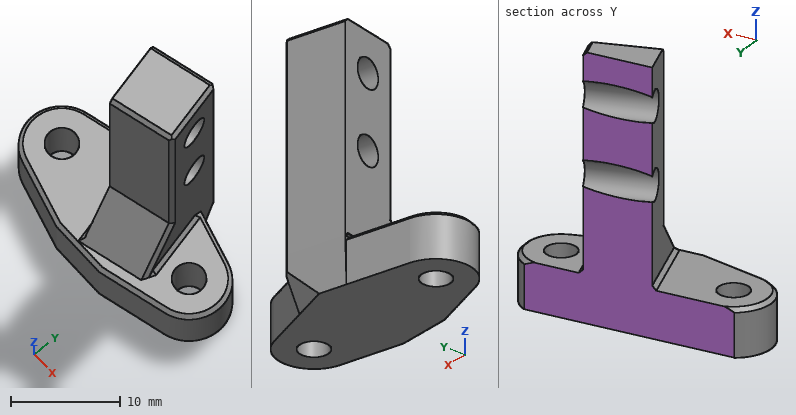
import cadquery as cq
import math

end_radius = 4.0
hole_spacing = 18.0
hole_diameter = 3.2
flat_half = 3.02
base_height = 5.0
side_angle = 15
edge_chamfer = 0.4

post_width = 7.0
post_depth = 7.0
post_left_x = -3.05
post_offset = 0.2
total_height = 27.5
post_hole_heights = (15.15, 23.15)

brace_height = 4.45
brace_length = 4.45
foot_size = 0.4
foot_slope = 45
underside_angle = 30

overlap = 0.28
relief_reach = 11

sine = math.sin(math.radians(side_angle))
cosine = math.cos(math.radians(side_angle))
tangent = sine / cosine
hole_x = hole_spacing / 2
side_x = hole_x + end_radius * sine
side_y = end_radius * cosine
apex_y = side_y + side_x * tangent
underside_run = base_height * math.tan(math.radians(underside_angle))
flat_y = apex_y - flat_half * tangent
foot_corner_width = foot_size + edge_chamfer
foot_corner_length = foot_corner_width * math.sqrt(2)
post_back_y = apex_y + post_left_x * tangent + post_offset / cosine

post_frame = cq.Plane(
    origin=(post_left_x, post_back_y, 0), xDir=(cosine, sine, 0), normal=(0, 0, 1)
)


def in_post_frame(shape):
    """Move a shape made around the origin into the turned post frame."""
    return cq.Workplane(shape.val().moved(cq.Location(post_frame)))


def make_base(height, bevel):
    """Plate outline raised to the given height, bevelled around its top."""
    return (
        cq.Workplane("XY")
        .moveTo(-side_x, -side_y)
        .lineTo(-flat_half, -flat_y)
        .lineTo(flat_half, -flat_y)
        .lineTo(side_x, -side_y)
        .threePointArc((hole_x + end_radius, 0), (side_x, side_y))
        .lineTo(0, apex_y)
        .lineTo(-side_x, side_y)
        .threePointArc((-hole_x - end_radius, 0), (-side_x, -side_y))
        .close()
        .extrude(height)
        .faces(">Z")
        .edges()
        .chamfer(bevel)
    )


def make_post():
    """Post and brace as one side profile, with the right side and the top chamfered."""
    profile = [
        (0, 0),
        (0, total_height),
        (-post_depth, total_height),
        (-post_depth, base_height + brace_height),
        (-post_depth - brace_length, base_height),
        (-post_depth, 0),
    ]
    body = cq.Workplane("YZ").polyline(profile).close().extrude(post_width)
    outer_edges = cq.selectors.BoxSelector(
        (post_width - overlap, -post_depth - brace_length, base_height + overlap),
        (post_width + overlap, overlap, total_height + overlap),
    )
    back_edge = cq.selectors.BoxSelector(
        (post_width - overlap, -overlap, 0),
        (post_width + overlap, overlap, total_height),
    )
    body = body.faces(">X").edges(outer_edges + back_edge).chamfer(edge_chamfer)
    return body.faces(">Z").edges(">Y or <Y").chamfer(edge_chamfer)


def make_foot():
    """Sloped skirt where the post and brace meet the plate."""
    foot_length = post_depth + brace_length
    outline = (
        cq.Workplane("XY")
        .workplane(offset=base_height)
        .moveTo(-foot_size, 0)
        .lineTo(post_width + foot_size, 0)
        .lineTo(post_width + foot_size, -foot_length + foot_corner_length)
        .lineTo(post_width + foot_size - foot_corner_width, -foot_length)
        .lineTo(-foot_size, -foot_length)
        .close()
    )
    return outline.extrude(foot_size, taper=foot_slope)


def make_post_holes():
    return (
        cq.Workplane("YZ")
        .pushPoints([(-post_depth / 2, height) for height in post_hole_heights])
        .circle(hole_diameter / 2)
        .extrude(post_width)
    )


def make_relief(side, run):
    """Space beyond a back side of the plate, leaning out by run over the plate height."""
    outward = (side * sine, cosine, 0)
    along = (cosine, -side * sine, 0)
    plane = cq.Plane(origin=(0, apex_y, 0), xDir=outward, normal=along)
    return (
        cq.Workplane(plane)
        .polyline([(0, 0), (run, base_height), (relief_reach, base_height), (relief_reach, 0)])
        .close()
        .extrude(hole_spacing, both=True)
    )


def make_plate_holes():
    return (
        cq.Workplane("XY")
        .pushPoints([(-hole_x, 0), (hole_x, 0)])
        .circle(hole_diameter / 2)
        .extrude(base_height)
    )


post = (
    in_post_frame(make_post())
    .cut(make_relief(-1, post_offset))
    .cut(make_relief(1, underside_run))
)
left_side = cq.Workplane("XY").box(
    post_width, total_height, total_height, centered=(True, True, False)
)
foot_limit = make_base(base_height + foot_size, edge_chamfer + foot_size).union(in_post_frame(left_side))
foot = in_post_frame(make_foot()).intersect(foot_limit)

result = (
    make_base(base_height, edge_chamfer)
    .union(post)
    .union(foot)
    .cut(in_post_frame(make_post_holes()))
    .cut(make_plate_holes())
)